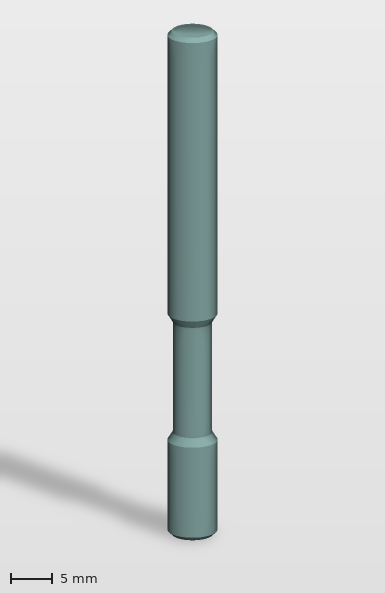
import cadquery as cq

length = 64.0
body_radius = 3.0
neck_radius = 2.4

neck_bottom = 13.0
neck_top = 27.0
shoulder_height = 1.0

chamfer_width = 0.5
chamfer_height = 0.5
end_radius = body_radius - chamfer_width

half_profile = [
    (0, 0),
    (end_radius, 0),
    (body_radius, chamfer_height),
    (body_radius, neck_bottom - shoulder_height),
    (neck_radius, neck_bottom),
    (neck_radius, neck_top),
    (body_radius, neck_top + shoulder_height),
    (body_radius, length - chamfer_height),
    (end_radius, length),
    (0, length),
]

result = (
    cq.Workplane("XZ")
    .polyline(half_profile)
    .close()
    .revolve(360, (0, 0, 0), (0, 1, 0))
)